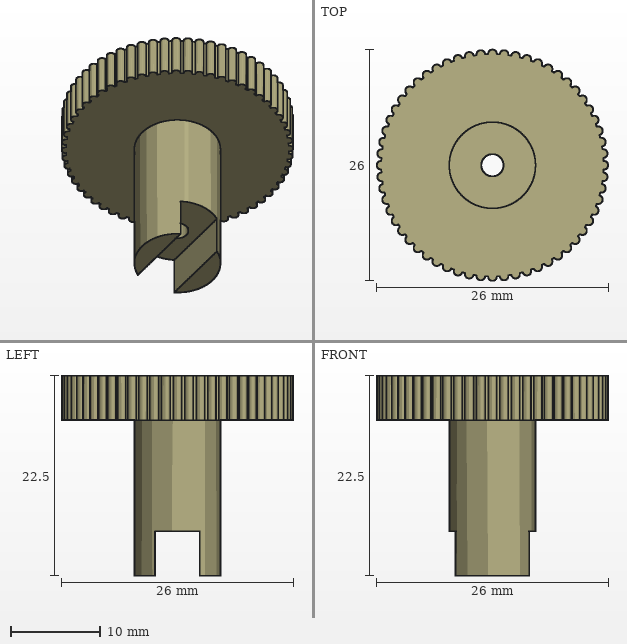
import cadquery as cq
import math

outer_diameter = 26.0
wheel_thickness = 5.0
tooth_count = 60
tooth_radius = 0.5
root_radius = outer_diameter / 2 - tooth_radius

overall_height = 22.5
stem_diameter = 9.7
stem_length = overall_height - wheel_thickness

recess_diameter = stem_diameter
recess_depth = 2.5
bore_diameter = 2.47
slot_width = 5.0
slot_depth = 5.0


def polar(radius, angle):
    """Point at a radius and an angle in radians."""
    return (radius * math.cos(angle), radius * math.sin(angle))


def knurled_wheel():
    """Disc with round teeth joined by short arcs of the root circle."""
    pitch_angle = 2 * math.pi / tooth_count
    foot_angle = 2 * math.asin(tooth_radius / (2 * root_radius))
    tip_radius = root_radius + tooth_radius

    outline = cq.Workplane("XY").workplane(offset=stem_length)
    outline = outline.moveTo(*polar(root_radius, -foot_angle))
    for tooth in range(tooth_count):
        tooth_angle = tooth * pitch_angle
        tip = polar(tip_radius, tooth_angle)
        tooth_end = polar(root_radius, tooth_angle + foot_angle)
        root_middle = polar(root_radius, tooth_angle + pitch_angle / 2)
        next_tooth_start = polar(root_radius, tooth_angle + pitch_angle - foot_angle)
        outline = outline.threePointArc(tip, tooth_end)
        outline = outline.threePointArc(root_middle, next_tooth_start)
    return outline.close().extrude(wheel_thickness)


def stem():
    """Plain cylinder from the bottom end up to the wheel."""
    return cq.Workplane("XY").circle(stem_diameter / 2).extrude(stem_length)


def recess():
    """Flat-bottomed round pocket in the top of the wheel."""
    floor = cq.Workplane("XY").workplane(offset=overall_height - recess_depth)
    return floor.circle(recess_diameter / 2).extrude(recess_depth)


def bore():
    """Through hole along the axis."""
    return cq.Workplane("XY").circle(bore_diameter / 2).extrude(overall_height)


def drive_slot():
    """Slot across the bottom end of the stem, running along X."""
    return cq.Workplane("XY").rect(stem_diameter, slot_width).extrude(slot_depth)


result = knurled_wheel().union(stem()).cut(recess()).cut(bore()).cut(drive_slot())